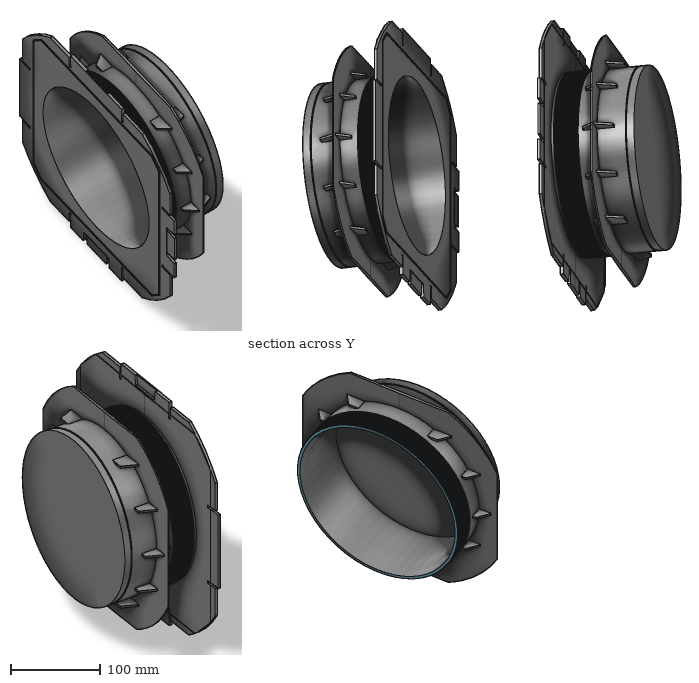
import cadquery as cq
import math


depth = 100.0
size = 295.0
bore_radius = 202.0 / 2
sleeve_radius = 208.2 / 2
floor_y = 85.2
draft = math.tan(math.radians(0.5))

flange_half = 140.7
flange_corner_radius = 165.7
flange_thickness = 4.5
long_tab_reach = 148.5
short_tab_reach = size - long_tab_reach
tab_half_width = 48.7
slit_width = 2.7
slit_floor = 126.0

TOP, RIGHT, BOTTOM, LEFT = range(4)
tab_reaches = {TOP: short_tab_reach, RIGHT: long_tab_reach, BOTTOM: long_tab_reach, LEFT: short_tab_reach}
flap_sides = (RIGHT, BOTTOM)

pad_half = 131.8
pad_chamfer = 30.7
pad_height = 0.5
pad_back = flange_thickness + pad_height
frame_half = 120.3
frame_chamfer = 14.7
groove_width = 1.2
groove_depth = 1.0

flap_root = 134.0
flap_root_half = 19.5
flap_tip_half = 18.3
notch_root_half = 23.5
notch_tip_half = 24.8
flap_front = 0.5
pocket_root = flap_root
pocket_root_half = 19.0
pocket_edge_half = 20.5
pocket_floor_y = 1.8

collar_half = 126.8
collar_corner_radius = 142.0
collar_thickness = 3.5
collar_y = 56.5

fin_places = [(0, 120.0), (52.8, 106.5), (92.5, 69.3)]
fin_thickness = 2.7
fin_front_y = 41.5
fin_back_y = 77.3
fin_front_setback = 11.5
fin_back_setback = 8.8

rib_radius = 105.0
rib_root_radius = 207.3 / 2
rib_count = 15
rib_pitch = 1.83
rib_width = rib_pitch / 2
rib_start_y = 8.0
cap_groove_y = 90.0
cap_groove_width = 1.2
cap_groove_depth = 0.5


def disc(radius, y_start, y_end):
    """Round disc around the sleeve axis."""
    return cq.Workplane("XZ", origin=(0, y_start, 0)).circle(radius).extrude(y_start - y_end)


def tube(outer, inner, y_start, y_end):
    """Ring around the sleeve axis."""
    return disc(outer, y_start, y_end).cut(disc(inner, y_start, y_end))


def slab(half_x, half_z, y_start, y_end):
    """Rectangular plate centred on the sleeve axis."""
    box = cq.Workplane("XY").box(2 * half_x, y_end - y_start, 2 * half_z)
    return box.translate((0, (y_start + y_end) / 2, 0))


def rounded_square(half, corner_radius, y_start, y_end):
    """Square plate whose corners are arcs around the sleeve axis."""
    return slab(half, half, y_start, y_end).intersect(disc(corner_radius, y_start, y_end))


def octagon(half, chamfer, y_start, y_end):
    """Square plate with chamfered corners."""
    return slab(half, half, y_start, y_end).edges("|Y").chamfer(chamfer)


def drafted_envelope(y_front, y_back, front_draft):
    """Prism along Z whose back, and front when drafted, slope away from a crease at X = 0."""
    reach = long_tab_reach + 3
    front_edge = y_front + reach * front_draft
    back_edge = y_back - reach * draft
    profile = [(0, y_front), (reach, front_edge), (reach, back_edge),
               (0, y_back), (-reach, back_edge), (-reach, front_edge)]
    return cq.Workplane("XY").polyline(profile).close().extrude(reach, both=True)


def radial_prism(points, side, y_start, y_end):
    """Prism along Y from (along, reach) points on the top edge, turned clockwise by side quarter turns."""
    prism = cq.Workplane("XZ", origin=(0, y_start, 0)).polyline(points).close().extrude(y_start - y_end)
    return prism.rotate((0, 0, 0), (0, 1, 0), 90 * side)


def trapezoid(root, root_half, tip, tip_half):
    """Symmetric outline from a root line out to a tip line."""
    return [(-root_half, root), (root_half, root), (tip_half, tip), (-tip_half, tip)]


def make_flange():
    """Drafted tile plate with a tab reaching out on every side."""
    plate = rounded_square(flange_half, flange_corner_radius, 0, flange_thickness)
    for side, reach in tab_reaches.items():
        tab = trapezoid(slit_floor, tab_half_width, reach, tab_half_width)
        plate = plate.union(radial_prism(tab, side, 0, flange_thickness))
    return plate.intersect(drafted_envelope(0, flange_thickness, 0))


def make_pad():
    """Low octagonal pad on the back of the flange."""
    pad = octagon(pad_half, pad_chamfer, 0, pad_back)
    pad = pad.intersect(disc(flange_corner_radius, 0, pad_back))
    return pad.intersect(drafted_envelope(0, pad_back, 0))


def cut_slits(body):
    """Free both ends of every tab with a slit."""
    near = tab_half_width
    far = tab_half_width + slit_width
    for side in tab_reaches:
        for sign in (-1, 1):
            slit = [(sign * near, slit_floor), (sign * far, slit_floor),
                    (sign * far, size), (sign * near, size)]
            body = body.cut(radial_prism(slit, side, 0, pad_back))
    return body


def make_frame_groove():
    """Thin octagonal groove around the bore on the front face."""
    inner_half = frame_half - groove_width
    inner_chamfer = frame_chamfer - groove_width * (2 - math.sqrt(2))
    outer = octagon(frame_half, frame_chamfer, 0, groove_depth)
    return outer.cut(octagon(inner_half, inner_chamfer, 0, groove_depth))


def cut_flap(body, side):
    """Notch both sides of a thin flap in a long tab and set the flap back from the front."""
    for sign in (-1, 1):
        notch = [(sign * flap_root_half, flap_root), (sign * notch_root_half, flap_root),
                 (sign * notch_tip_half, long_tab_reach), (sign * flap_tip_half, long_tab_reach)]
        body = body.cut(radial_prism(notch, side, 0, pad_back))
    recess = trapezoid(flap_root, flap_root_half, long_tab_reach, flap_root_half)
    return body.cut(radial_prism(recess, side, 0, flap_front))


def cut_pocket(body):
    """Recess in the back of the top tab that receives a neighbouring flap."""
    pocket = trapezoid(pocket_root, pocket_root_half, short_tab_reach, pocket_edge_half)
    return body.cut(radial_prism(pocket, TOP, pocket_floor_y, pad_back))


def make_collar():
    """Collar around the sleeve, thickest along X = 0."""
    front = collar_y - collar_thickness / 2
    back = collar_y + collar_thickness / 2
    plate = rounded_square(collar_half, collar_corner_radius, front, back)
    return plate.intersect(drafted_envelope(front, back, draft))


def make_fin(height, tip, sign):
    """Flat fin in a plane of constant Z, pointed where it crosses the collar."""
    root = math.sqrt(bore_radius ** 2 - height ** 2) + (sleeve_radius - bore_radius) / 2
    profile = [(root, fin_front_y), (tip - fin_front_setback, fin_front_y), (tip, collar_y),
               (tip - fin_back_setback, fin_back_y), (root, fin_back_y)]
    outline = [(sign * x, y) for x, y in profile]
    fin = cq.Workplane("XY").polyline(outline).close().extrude(fin_thickness)
    return fin.translate((0, 0, height - fin_thickness / 2))


def cut_band(body):
    """Shallow recess around the sleeve holding evenly spaced fine ribs."""
    recess_start = rib_start_y - rib_width
    recess_end = rib_start_y + rib_count * rib_pitch
    body = body.cut(tube(sleeve_radius, rib_root_radius, recess_start, recess_end))
    for i in range(rib_count):
        start = rib_start_y + i * rib_pitch
        body = body.union(tube(rib_radius, bore_radius, start, start + rib_width))
    return body


result = cut_slits(make_flange().union(make_pad()))
for flap_side in flap_sides:
    result = cut_flap(result, flap_side)
result = cut_pocket(result).cut(make_frame_groove())

sleeve = cut_band(disc(sleeve_radius, 0, depth))
cap_groove_end = cap_groove_y + cap_groove_width
sleeve = sleeve.cut(tube(sleeve_radius, sleeve_radius - cap_groove_depth, cap_groove_y, cap_groove_end))

result = result.union(sleeve).union(make_collar())
for fin_height, fin_tip in fin_places:
    for level in {fin_height, -fin_height}:
        for x_sign in (-1, 1):
            result = result.union(make_fin(level, fin_tip, x_sign))

result = result.cut(disc(bore_radius, 0, floor_y))